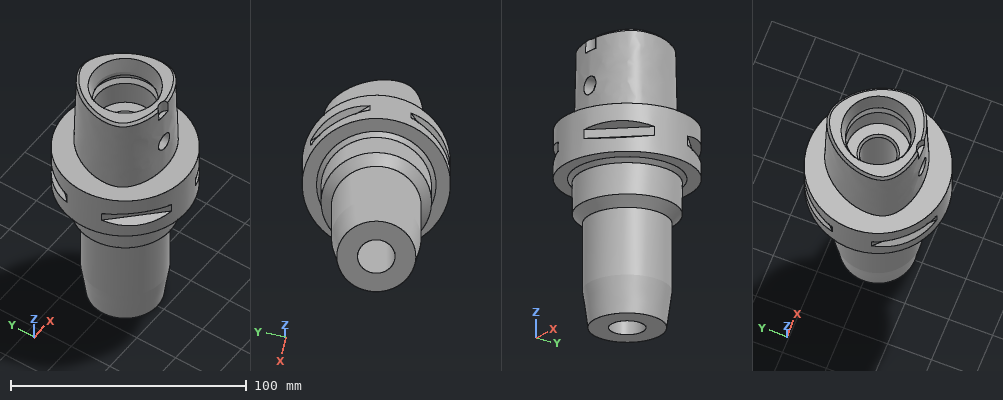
import cadquery as cq
import math

total_height = 128.0
flange_top = 90.0
flange_bottom = 68.0
neck_bottom = 51.7
nose_top = 16.5

flange_radius = 31.5
relief_radius = 25.3
neck_radius = 23.4
body_radius = 19.1
nose_radius = 16.8

shank_half_width = 22.1
lobe_height = 1.4
shank_inset_per_height = 0.025
rim_chamfer = 1.2
points_per_lobe = 24
lobe_count = 3

mouth_radius = 15.7
socket_radius = 14.0
mouth_depth = 6.7
groove_top_depth = 8.5
groove_floor_depth = 11.9
groove_radius = mouth_radius
groove_end_depth = groove_floor_depth + groove_radius - socket_radius
socket_depth = 25.6
through_radius = 8.0
through_chamfer = 1.0

notch_radius = 4.0
notch_depth = 6.3
notch_reach = 17.8
side_hole_radius = 4.1
side_hole_height = 105.7
side_hole_floor = 14.7

groove_count = 4
grip_height = 78.2
grip_width = 4.0
grip_flare = 1.9
grip_distance = 27.6


def revolve_profile(points):
    """Revolve (radius, height) points about the Z axis."""
    return cq.Workplane("XZ").polyline(points).close().revolve(360, (0, 0, 0), (0, 1, 0))


def lobed_point(angle, half_width):
    """Point of a constant-width curve with one lobe toward +Y."""
    support = half_width + lobe_height * math.cos(lobe_count * angle)
    slope = -lobe_count * lobe_height * math.sin(lobe_count * angle)
    x = -support * math.sin(angle) - slope * math.cos(angle)
    y = support * math.cos(angle) - slope * math.sin(angle)
    return x, y


def lobed_outline(half_width):
    """Evenly spaced points around the lobed curve."""
    count = lobe_count * points_per_lobe
    return [lobed_point(2 * math.pi * i / count, half_width) for i in range(count)]


def lobed_loft(bottom, height, bottom_half_width, top_half_width):
    """Straight-sided solid between two lobed outlines."""
    return (
        cq.Workplane("XY", origin=(0, 0, bottom))
        .spline(lobed_outline(bottom_half_width), periodic=True)
        .close()
        .workplane(offset=height)
        .spline(lobed_outline(top_half_width), periodic=True)
        .close()
        .loft(ruled=True)
    )


def make_body():
    return revolve_profile([
        (0, 0),
        (nose_radius, 0),
        (body_radius, nose_top),
        (body_radius, neck_bottom - (neck_radius - body_radius)),
        (neck_radius, neck_bottom),
        (neck_radius, flange_bottom - (relief_radius - neck_radius)),
        (relief_radius, flange_bottom),
        (flange_radius, flange_bottom),
        (flange_radius, flange_top),
        (0, flange_top),
    ])


def make_shank():
    taper_height = total_height - rim_chamfer - flange_top
    upper_half_width = shank_half_width - shank_inset_per_height * taper_height
    taper = lobed_loft(flange_top, taper_height, shank_half_width, upper_half_width)
    rim = lobed_loft(
        total_height - rim_chamfer, rim_chamfer, upper_half_width, upper_half_width - rim_chamfer
    )
    return taper.union(rim)


def make_bore():
    socket_floor = total_height - socket_depth
    return revolve_profile([
        (0, 0),
        (through_radius, 0),
        (through_radius, socket_floor - through_chamfer),
        (through_radius + through_chamfer, socket_floor),
        (socket_radius, socket_floor),
        (socket_radius, total_height - groove_end_depth),
        (groove_radius, total_height - groove_floor_depth),
        (groove_radius, total_height - groove_top_depth),
        (socket_radius, total_height - groove_top_depth),
        (socket_radius, total_height - mouth_depth),
        (mouth_radius, total_height),
        (0, total_height),
    ])


def make_notch():
    """Vertical round-ended notch, open toward -Y."""
    centre_y = -(notch_reach + notch_radius)
    start = cq.Workplane("XY", origin=(0, centre_y, total_height - notch_depth))
    round_end = start.circle(notch_radius).extrude(notch_depth)
    opening = start.rect(2 * notch_radius, 2 * notch_radius).extrude(notch_depth)
    return round_end.union(opening.translate((0, -notch_radius, 0)))


def make_side_hole():
    return (
        cq.Workplane("XZ", origin=(0, -side_hole_floor, side_hole_height))
        .circle(side_hole_radius)
        .extrude(flange_radius - side_hole_floor)
    )


def make_grip_groove(angle):
    """Flat-bottomed groove along a chord, its sides flaring outward."""
    sagitta = flange_radius - grip_distance
    half_floor = grip_width / 2
    half_mouth = half_floor + grip_flare
    return (
        cq.Workplane("XZ", origin=(0, flange_radius, grip_height))
        .polyline([
            (grip_distance, -half_floor),
            (grip_distance + sagitta, -half_mouth),
            (grip_distance + sagitta, half_mouth),
            (grip_distance, half_floor),
        ])
        .close()
        .extrude(2 * flange_radius)
        .rotate((0, 0, 0), (0, 0, 1), angle)
    )


result = make_body().union(make_shank())
result = result.cut(make_bore()).cut(make_notch()).cut(make_side_hole())
for index in range(groove_count):
    result = result.cut(make_grip_groove((index + 0.5) * 360 / groove_count))